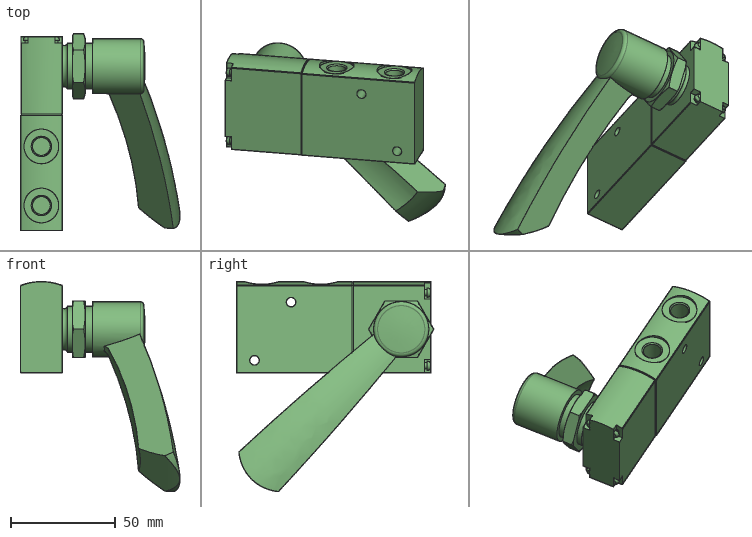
import cadquery as cq
import math


BLOCK_WIDTH = 20.1
BLOCK_BOTTOM = -20.9
CROWN_TOP = 22.8
CROWN_RADIUS = 28.1
FRONT_FACE_Y = -78.5
SPLIT_Y = -23.5
BACK_FACE_Y = 14.1
BACK_INSET = 0.3
EDGE_CHAMFER = 0.3
REVEAL_WIDTH = 0.6
REVEAL_DEPTH = 0.2

PORT_Y = (-38.3, -66.5)
SPOTFACE_DIAMETER = 16.5
SPOTFACE_DEPTH = 1.3
PORT_MOUTH_DIAMETER = 9.7
PORT_DIAMETER = 8.5
PORT_DEPTH = 12.0
MOUNTING_DIAMETER = 4.4
MOUNTING_HOLES = ((-52.6, 12.9), (-70.0, -14.8))

NOTCH_WIDTH = 3.6
NOTCH_DEPTH = 3.1
NOTCH_INNER_Z = 14.3
NOTCH_CUT_HEIGHT = 10.0
SCREW_Z = 17.5
SCREW_HEAD_DIAMETER = 4.4
SCREW_HEAD_HEIGHT = 1.8
SCREW_RIM = 0.3
SCREW_CROWN_DIAMETER = 2.5
SCREW_SHANK_DIAMETER = 3.0
SCREW_SHANK_LENGTH = 1.2

NECK_DIAMETER = 20.4
NECK_WAIST_DIAMETER = 19.9
THREAD_DIAMETER = 22.0
THREAD_START_X = 22.5
HUB_START_X = 34.5
NUT_START_X = 25.0
NUT_END_X = 31.0
NUT_FLATS = 27.0
NUT_NEAR_FACE_DIAMETER = 29.1
NUT_NEAR_CHAMFER = 0.4
NUT_FAR_FACE_DIAMETER = 26.4
NUT_FAR_CHAMFER = 0.8

HUB_DIAMETER = 26.4
HUB_ROUNDING_X = 57.4
HUB_CAP_DIAMETER = 22.6
HUB_CAP_X = 59.0
HUB_END_X = 59.6

LEVER_TILT = 45.0
ROOT_FILLET = 5.0
ROOT_START = 11.8
INNER_ARC = ((41.7, 14.4), (53.3, 55.9), (57.3, 88.3))
OUTER_ARC = ((58.3, 12.0), (68.7, 53.2), (75.8, 97.3))
INNER_CROWN_RADIUS = 29.1
OUTER_CROWN_RADIUS = 33.1
TIP_ARC = ((55.4, 87.1), (68.5, 97.1), (76.0, 101.1))
END_RADIUS = 20.9
LEVER_END = 101.1
WEDGE_APEX_X = 35.4
WEDGE_LEAN = 0.5
WEDGE_HALF_ANGLE = 19.2
LEVER_REACH = 110.3
WEDGE_REACH = 50.1
FAR_X = 100.3


def crowned_bar(start_y, end_y, left_x, inset=0):
    """Bar along Y with a flat bottom and a crowned top, its whole section shrunk by the inset."""
    left = left_x + inset
    right = BLOCK_WIDTH - inset
    bottom = BLOCK_BOTTOM + inset
    top = CROWN_TOP - inset
    middle_x = BLOCK_WIDTH / 2
    radius = CROWN_RADIUS - inset

    def crown_z(x):
        return top - radius + math.sqrt(radius**2 - (x - middle_x) ** 2)

    return (
        cq.Workplane("XZ", origin=(0, end_y, 0))
        .moveTo(left, bottom)
        .lineTo(right, bottom)
        .lineTo(right, crown_z(right))
        .threePointArc((middle_x, top), (left, crown_z(left)))
        .close()
        .extrude(end_y - start_y)
    )


def make_front_block():
    block = crowned_bar(FRONT_FACE_Y, SPLIT_Y, 0).edges("|Y").chamfer(EDGE_CHAMFER)
    mouth_chamfer = (PORT_MOUTH_DIAMETER - PORT_DIAMETER) / 2
    floor_z = CROWN_TOP - SPOTFACE_DEPTH
    for port_y in PORT_Y:
        port = (
            cq.Workplane("XZ")
            .polyline(
                [
                    (0, CROWN_TOP),
                    (SPOTFACE_DIAMETER / 2, CROWN_TOP),
                    (SPOTFACE_DIAMETER / 2, floor_z),
                    (PORT_MOUTH_DIAMETER / 2, floor_z),
                    (PORT_DIAMETER / 2, floor_z - mouth_chamfer),
                    (PORT_DIAMETER / 2, floor_z - PORT_DEPTH),
                    (0, floor_z - PORT_DEPTH),
                ]
            )
            .close()
            .revolve(360, (0, 0, 0), (0, 1, 0))
        )
        block = block.cut(port.translate((BLOCK_WIDTH / 2, port_y, 0)))
    holes = cq.Workplane("YZ").pushPoints(MOUNTING_HOLES).circle(MOUNTING_DIAMETER / 2).extrude(BLOCK_WIDTH)
    return block.cut(holes)


def make_neck():
    """Waisted neck and thread, turned about the X axis."""
    return (
        cq.Workplane("XY")
        .moveTo(BLOCK_WIDTH, 0)
        .lineTo(BLOCK_WIDTH, NECK_DIAMETER / 2)
        .threePointArc(
            ((BLOCK_WIDTH + THREAD_START_X) / 2, NECK_WAIST_DIAMETER / 2),
            (THREAD_START_X, THREAD_DIAMETER / 2),
        )
        .lineTo(HUB_START_X, THREAD_DIAMETER / 2)
        .lineTo(HUB_START_X, 0)
        .close()
        .revolve(360, (0, 0, 0), (1, 0, 0))
    )


def make_screw(x, z):
    """Round-headed screw along Y, standing on the notch floor."""
    floor_y = BACK_FACE_Y - NOTCH_DEPTH
    head_y = floor_y + SCREW_SHANK_LENGTH
    head_radius = SCREW_HEAD_DIAMETER / 2
    return (
        cq.Workplane("XY")
        .moveTo(0, floor_y)
        .lineTo(SCREW_SHANK_DIAMETER / 2, floor_y)
        .lineTo(SCREW_SHANK_DIAMETER / 2, head_y)
        .lineTo(head_radius, head_y)
        .lineTo(head_radius, head_y + SCREW_RIM)
        .tangentArcPoint((SCREW_CROWN_DIAMETER / 2, head_y + SCREW_HEAD_HEIGHT), relative=False)
        .lineTo(0, head_y + SCREW_HEAD_HEIGHT)
        .close()
        .revolve(360, (0, 0, 0), (0, 1, 0))
        .translate((x, 0, z))
    )


def make_back_block():
    reveal_end_y = SPLIT_Y + REVEAL_WIDTH
    block = crowned_bar(reveal_end_y, BACK_FACE_Y, BACK_INSET).edges("|Y").chamfer(EDGE_CHAMFER)
    block = block.union(crowned_bar(SPLIT_Y, reveal_end_y, BACK_INSET, REVEAL_DEPTH))
    for side_x, wall_x in ((0, NOTCH_WIDTH), (BLOCK_WIDTH, BLOCK_WIDTH - NOTCH_WIDTH)):
        for side in (1, -1):
            notch = cq.Workplane().box(2 * NOTCH_WIDTH, 2 * NOTCH_DEPTH, NOTCH_CUT_HEIGHT)
            notch_z = side * (NOTCH_INNER_Z + NOTCH_CUT_HEIGHT / 2)
            block = block.cut(notch.translate((side_x, BACK_FACE_Y, notch_z)))
            block = block.union(make_screw(wall_x, side * SCREW_Z))
    return block.union(make_neck())


def make_nut():
    length = NUT_END_X - NUT_START_X
    corner_diameter = NUT_FLATS / math.cos(math.pi / 6)
    corner_radius = corner_diameter / 2
    hexagon = cq.Workplane("YZ", origin=(NUT_START_X, 0, 0)).polygon(6, corner_diameter).extrude(length)
    envelope = (
        cq.Workplane("XY")
        .polyline(
            [
                (NUT_START_X, 0),
                (NUT_START_X, NUT_NEAR_FACE_DIAMETER / 2),
                (NUT_START_X + NUT_NEAR_CHAMFER, corner_radius),
                (NUT_END_X - NUT_FAR_CHAMFER, corner_radius),
                (NUT_END_X, NUT_FAR_FACE_DIAMETER / 2),
                (NUT_END_X, 0),
            ]
        )
        .close()
        .revolve(360, (0, 0, 0), (1, 0, 0))
    )
    bore = cq.Workplane("YZ", origin=(NUT_START_X, 0, 0)).circle(THREAD_DIAMETER / 2).extrude(length)
    return hexagon.intersect(envelope).cut(bore)


def make_hub():
    hub_radius = HUB_DIAMETER / 2
    cap_radius = HUB_CAP_DIAMETER / 2
    half = math.sqrt(0.5)
    rounding_middle = (
        HUB_ROUNDING_X + (HUB_CAP_X - HUB_ROUNDING_X) * half,
        cap_radius + (hub_radius - cap_radius) * half,
    )
    cap_rise = HUB_END_X - HUB_CAP_X
    cap_sphere_radius = (cap_radius**2 + cap_rise**2) / (2 * cap_rise)
    return (
        cq.Workplane("XY")
        .moveTo(HUB_START_X, 0)
        .lineTo(HUB_START_X, hub_radius)
        .lineTo(HUB_ROUNDING_X, hub_radius)
        .threePointArc(rounding_middle, (HUB_CAP_X, cap_radius))
        .radiusArc((HUB_END_X, 0), cap_sphere_radius)
        .close()
        .revolve(360, (0, 0, 0), (1, 0, 0))
    )


def down(point):
    """Lever point (X, distance) on the XZ plane of a lever that hangs straight down."""
    return (point[0], -point[1])


def barrel(arc, crown_radius):
    """Barrel whose flank follows the arc lengthwise and the crown radius crosswise."""
    top, middle, bottom = arc
    lean = math.atan2(bottom[0] - top[0], bottom[1] - top[1])
    sideways = (-crown_radius * math.cos(lean), crown_radius * math.sin(lean))
    axis_top = (top[0] + sideways[0], top[1] + sideways[1])
    axis_bottom = (bottom[0] + sideways[0], bottom[1] + sideways[1])
    return (
        cq.Workplane("XZ")
        .moveTo(*down(top))
        .threePointArc(down(middle), down(bottom))
        .lineTo(*down(axis_bottom))
        .lineTo(*down(axis_top))
        .close()
        .revolve(360, down(axis_top), down(axis_bottom))
    )


def extended(arc, start, end):
    """The same circle as the arc, from the start distance to the end distance."""
    (x1, d1), (x2, d2), (x3, d3) = arc
    turn = 2 * (x1 * (d2 - d3) + x2 * (d3 - d1) + x3 * (d1 - d2))
    square_1 = x1**2 + d1**2
    square_2 = x2**2 + d2**2
    square_3 = x3**2 + d3**2
    center_x = (square_1 * (d2 - d3) + square_2 * (d3 - d1) + square_3 * (d1 - d2)) / turn
    center_d = (square_1 * (x3 - x2) + square_2 * (x1 - x3) + square_3 * (x2 - x1)) / turn
    radius = math.hypot(x1 - center_x, d1 - center_d)

    def point_at(distance):
        return (center_x + math.sqrt(radius**2 - (distance - center_d) ** 2), distance)

    return point_at(start), point_at((start + end) / 2), point_at(end)


def lever_wedge():
    """V-shaped bar whose two planes are the sides of the lever."""
    half_width = WEDGE_REACH * math.tan(math.radians(WEDGE_HALF_ANGLE))
    return (
        cq.Workplane("XY")
        .polyline([(0, 0), (WEDGE_REACH, -half_width), (WEDGE_REACH, half_width)])
        .close()
        .extrude(-LEVER_REACH)
        .rotate((0, 0, 0), (0, 1, 0), WEDGE_LEAN)
        .translate((WEDGE_APEX_X, 0, 0))
    )


def lever_end_wall():
    """Slab along X whose lower end is the round end of the lever."""
    return (
        cq.Workplane("YZ")
        .center(0, END_RADIUS - LEVER_END)
        .moveTo(-END_RADIUS, 0)
        .threePointArc((0, -END_RADIUS), (END_RADIUS, 0))
        .lineTo(END_RADIUS, LEVER_END - END_RADIUS)
        .lineTo(-END_RADIUS, LEVER_END - END_RADIUS)
        .close()
        .extrude(FAR_X)
    )


def lever_tip():
    """Slab across the lever whose lower side is the sloping tip face."""
    tip_start, tip_middle, tip_end = TIP_ARC
    return (
        cq.Workplane("XZ")
        .lineTo(FAR_X, 0)
        .lineTo(FAR_X, -LEVER_END)
        .lineTo(*down(tip_end))
        .threePointArc(down(tip_middle), down(tip_start))
        .lineTo(0, -tip_start[1])
        .close()
        .extrude(WEDGE_REACH, both=True)
    )


def make_lever():
    outside = barrel(extended(OUTER_ARC, 0, LEVER_REACH), OUTER_CROWN_RADIUS)
    inside = barrel(extended(INNER_ARC, ROOT_START, LEVER_REACH), INNER_CROWN_RADIUS)
    inside = inside.edges(">Z").fillet(ROOT_FILLET)
    lever = lever_wedge().intersect(lever_end_wall()).intersect(lever_tip()).intersect(outside).cut(inside)
    return lever.rotate((0, 0, 0), (1, 0, 0), -LEVER_TILT)


def make_handle():
    return make_hub().union(make_lever())


front_block = make_front_block()
back_block = make_back_block()
nut = make_nut()
handle = make_handle()
bodies = (front_block, back_block, nut, handle)
result = cq.Compound.makeCompound([solid for body in bodies for solid in body.solids().vals()])